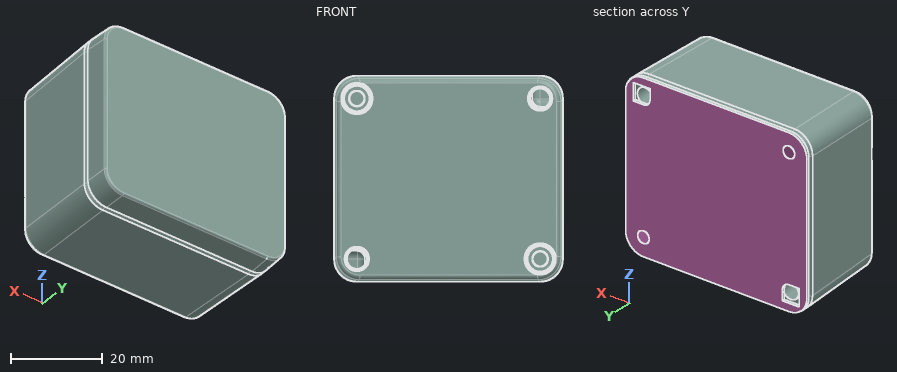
import cadquery as cq

LENGTH = 50.0
DEPTH = 30.0
HEIGHT = 45.0
CORNER_RADIUS = 5.0

BOTTOM_Y = -DEPTH / 2
TOP_Y = DEPTH / 2
LID_THICKNESS = 6.0
JOINT_Y = TOP_Y - LID_THICKNESS

BASE_WALL_INSET = 0.55
LID_WALL_INSET = 0.2
BASE_EDGE_RADIUS = 1.0
LID_EDGE_RADIUS = 0.5

BEVEL_HEIGHT = 1.3
BEVEL_INSET = 0.8
RIM_Y = JOINT_Y - BEVEL_HEIGHT

HOLE_X = LENGTH / 2 - CORNER_RADIUS
HOLE_Z = HEIGHT / 2 - CORNER_RADIUS
SCREW_CORNERS = [(-HOLE_X, HOLE_Z), (HOLE_X, -HOLE_Z)]
MOUNTING_CORNERS = [(HOLE_X, HOLE_Z), (-HOLE_X, -HOLE_Z)]
MOUTH_CHAMFER = 0.25

WELL_MOUTH_RADIUS = 3.2
WELL_FLOOR_RADIUS = 2.95
WELL_DEPTH = 20.0
WELL_FLOOR_Y = BOTTOM_Y + WELL_DEPTH

MOUNTING_MOUTH_RADIUS = 2.45
MOUNTING_END_RADIUS = 2.15

POCKET_DEPTH = 3.0
POCKET_REACH_IN = 1.75
POCKET_REACH_OUT = 2.75
POCKET_FILLET = 1.7

HEAD_RADIUS = 2.75
HEAD_HEIGHT = 3.0
HEAD_Y = WELL_FLOOR_Y - HEAD_HEIGHT
RECESS_MOUTH_RADIUS = 1.75
RECESS_FLOOR_RADIUS = 1.6
RECESS_DEPTH = 1.5
SHANK_RADIUS = 1.5
SCREW_LID_ENGAGEMENT = 3.0
SHANK_LENGTH = JOINT_Y + SCREW_LID_ENGAGEMENT - WELL_FLOOR_Y


def rounded_rectangle(inset, corner_radius):
    """Box outline set in from the envelope all round."""
    outline = cq.Sketch().rect(LENGTH - 2 * inset, HEIGHT - 2 * inset)
    return outline.vertices().fillet(corner_radius)


def drafted_block(y_start, inset_start, y_end, inset_end, end_radius=CORNER_RADIUS):
    """Solid with straight walls between two rounded rectangles across Y."""
    plane = cq.Workplane("XZ", origin=(0, y_start, 0))
    end_offset = cq.Location(cq.Vector(0, 0, y_start - y_end))
    start_outline = rounded_rectangle(inset_start, CORNER_RADIUS)
    end_outline = rounded_rectangle(inset_end, end_radius).moved(end_offset)
    return plane.placeSketch(start_outline, end_outline).loft(ruled=True)


def tapered_hole(x, z, mouth_radius, end_radius, end_y):
    """Round cutter opening at the bottom face, narrowing towards end_y, with a chamfered mouth."""
    profile = [
        (0, BOTTOM_Y),
        (mouth_radius + MOUTH_CHAMFER, BOTTOM_Y),
        (mouth_radius, BOTTOM_Y + MOUTH_CHAMFER),
        (end_radius, end_y),
        (0, end_y),
    ]
    cutter = cq.Workplane("XY").polyline(profile).close().revolve(360, (0, 0), (0, 1))
    return cutter.translate((x, 0, z))


def screw_shank(x, z):
    """Plain shank from the well floor into the lid; also the cutter for its own hole."""
    return cq.Workplane("XZ", origin=(x, WELL_FLOOR_Y, z)).circle(SHANK_RADIUS).extrude(-SHANK_LENGTH)


def make_screw(x, z):
    head = cq.Workplane("XZ", origin=(x, HEAD_Y, z)).circle(HEAD_RADIUS).extrude(-HEAD_HEIGHT)
    recess_mouth = cq.Workplane("XZ", origin=(x, HEAD_Y, z)).circle(RECESS_MOUTH_RADIUS)
    recess = recess_mouth.workplane(offset=-RECESS_DEPTH).circle(RECESS_FLOOR_RADIUS).loft()
    return head.cut(recess).union(screw_shank(x, z))


def lid_pocket():
    """Cutter at the +X +Z corner: a square pocket, rounded only where it turns in under the hole."""
    side = POCKET_REACH_IN + POCKET_REACH_OUT
    shift = (POCKET_REACH_OUT - POCKET_REACH_IN) / 2
    plane = cq.Workplane("XZ", origin=(HOLE_X + shift, JOINT_Y, HOLE_Z + shift))
    block = plane.rect(side, side).extrude(-POCKET_DEPTH)
    inner_edges = block.edges("|Y").edges("<X").edges("<Z").add(block.faces(">Y").edges("<X or <Z"))
    return inner_edges.fillet(POCKET_FILLET)


def make_base():
    body = drafted_block(RIM_Y, 0, BOTTOM_Y, BASE_WALL_INSET)
    body = body.faces("<Y").edges().fillet(BASE_EDGE_RADIUS)
    body = body.union(drafted_block(RIM_Y, 0, JOINT_Y, BEVEL_INSET, CORNER_RADIUS - BEVEL_INSET))
    for x, z in SCREW_CORNERS:
        body = body.cut(tapered_hole(x, z, WELL_MOUTH_RADIUS, WELL_FLOOR_RADIUS, WELL_FLOOR_Y))
        body = body.cut(screw_shank(x, z))
    for x, z in MOUNTING_CORNERS:
        body = body.cut(tapered_hole(x, z, MOUNTING_MOUTH_RADIUS, MOUNTING_END_RADIUS, JOINT_Y))
    return body


def make_lid():
    body = drafted_block(JOINT_Y, 0, TOP_Y, LID_WALL_INSET)
    body = body.faces(">Y").edges().fillet(LID_EDGE_RADIUS)
    for x, z in SCREW_CORNERS:
        body = body.cut(screw_shank(x, z))
    for turn in (0, 180):
        body = body.cut(lid_pocket().rotate((0, 0, 0), (0, 1, 0), turn))
    return body


base = make_base()
lid = make_lid()
screws = [make_screw(x, z) for x, z in SCREW_CORNERS]

result = cq.Compound.makeCompound([base.val(), lid.val(), *[screw.val() for screw in screws]])